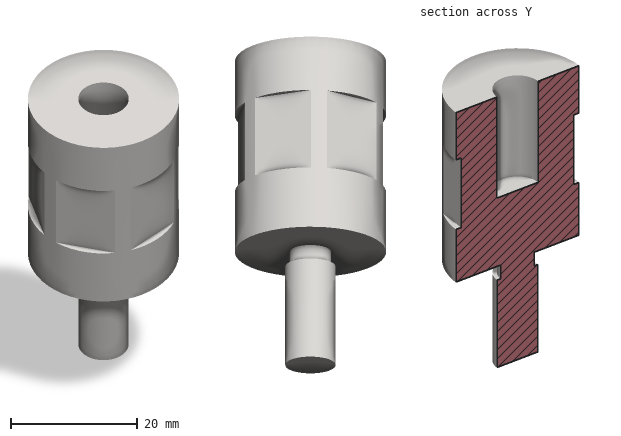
import cadquery as cq

total_height = 51.0
body_diameter = 24.0
pin_diameter = 8.0
pin_length = 16.5
neck_diameter = 6.6
neck_length = 2.5
flat_count = 6
across_flats = 22.0
flat_bottom = 29.0
flat_height = 13.0

shank_length = pin_length + neck_length
body_height = total_height - shank_length
bore_diameter = pin_diameter
bore_depth = shank_length


def cylinder(diameter, height, bottom):
    """Solid cylinder on the Z axis, starting at the given height."""
    return cq.Workplane("XY", origin=(0, 0, bottom)).circle(diameter / 2).extrude(height)


def wrench_flat_cutter(angle):
    """Block that removes one flat whose outward normal is at the given angle from +X."""
    block = cq.Workplane("XY").box(
        body_diameter, body_diameter, flat_height, centered=(False, True, False)
    )
    return block.translate((across_flats / 2, 0, flat_bottom)).rotate((0, 0, 0), (0, 0, 1), angle)


pin = cylinder(pin_diameter, pin_length, 0)
neck = cylinder(neck_diameter, neck_length, pin_length)
body = cylinder(body_diameter, body_height, shank_length)
result = pin.union(neck).union(body)

for index in range(flat_count):
    result = result.cut(wrench_flat_cutter(index * 360 / flat_count))

result = result.cut(cylinder(bore_diameter, bore_depth, total_height - bore_depth))